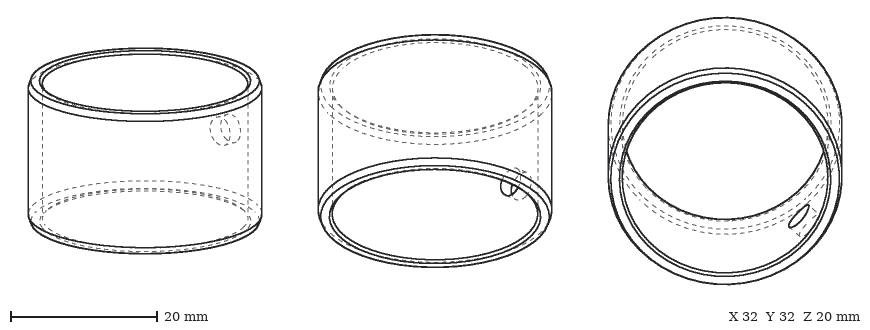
import cadquery as cq
import math

outer_diameter = 32.0
bore_diameter = 28.13
height = 20.0

lead_in_height = 1.0
lead_in_angle = 20.0
lead_in_depth = lead_in_height * math.tan(math.radians(lead_in_angle))

bore_chamfer = 0.4

oil_hole_diameter = 4.0

outer_radius = outer_diameter / 2
bore_radius = bore_diameter / 2
half_height = height / 2


def make_sleeve():
    """Revolve the wall section, with its four chamfered corners, about Z."""
    section = [
        (bore_radius, -half_height + bore_chamfer),
        (bore_radius + bore_chamfer, -half_height),
        (outer_radius - lead_in_depth, -half_height),
        (outer_radius, -half_height + lead_in_height),
        (outer_radius, half_height - lead_in_height),
        (outer_radius - lead_in_depth, half_height),
        (bore_radius + bore_chamfer, half_height),
        (bore_radius, half_height - bore_chamfer),
    ]
    return cq.Workplane("XZ").polyline(section).close().revolve(360, (0, 0), (0, 1))


def make_oil_hole():
    """Cylinder running from the axis out along +Y, past the wall."""
    return cq.Workplane("XZ").circle(oil_hole_diameter / 2).extrude(-outer_diameter)


result = make_sleeve().cut(make_oil_hole())